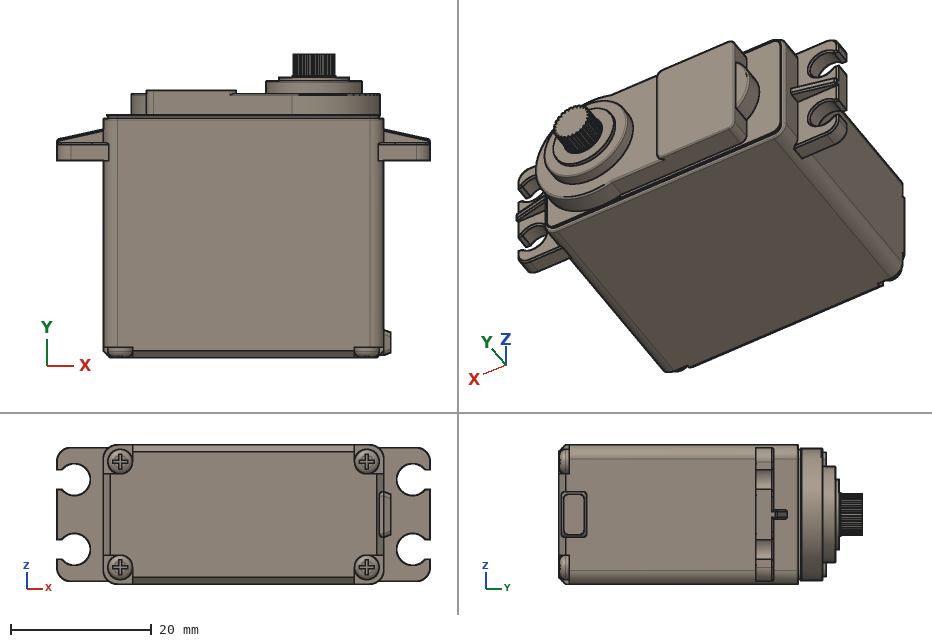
import cadquery as cq
import math


case_length = 39.8
case_width = 19.8
case_top = 34.0
case_corner_radius = 2.0
case_top_fillet = 0.2
bottom_chamfer = 1.0

seam_inset = 0.65
seam_top = 34.35
plate_inset = 0.5
plate_top = 34.5

shaft_x = 10.0
boss_radius = 6.85
boss_top = 39.3
boss_fillet = 0.2
ring_radius = 5.0
ring_top = 39.8
collar_radius = 3.1
collar_top = 40.0
shaft_top = 43.1
spline_tip_radius = 2.95
spline_root_radius = 2.65
spline_teeth = 25
tooth_tip_share = 0.45

deck_left = -13.8
deck_width = 17.7
deck_top = 37.5
deck_fillet = 0.25
deck_corner_radius = 1.0
deck_round_radius = case_length / 2 - plate_inset - shaft_x
cover_right = -1.0
cover_top = 38.0
cover_fillet = 0.2
bulge_length = 2.15
bulge_width = 9.4

span = 53.0
ear_width = 19.0
ear_bottom = 28.0
ear_top = 30.5
ear_corner_radius = 2.0
ear_chamfer = 0.25
ear_hole_x = 24.0
ear_hole_z = 4.95
ear_hole_diameter = 4.5
ear_slot_width = 2.8
rib_width = 1.3
rib_tip_top = 31.0
rib_root_top = 32.45
rib_chamfer = 0.25

screw_inset = 2.4
screw_x = case_length / 2 - screw_inset
screw_z = case_width / 2 - screw_inset
screw_radius = 1.75
screw_seat = 1.5
screw_tip = 0.1
screw_fillet = 0.85
cross_length = 2.1
cross_width = 0.4
cross_floor = 0.75
cross_center_size = 0.75
cross_center_taper = 15.0

cable_exit_width = 6.5
cable_exit_bottom = 0.35
cable_exit_top = 4.0
cable_exit_length = 1.0
cable_exit_corner_radius = 0.6
cable_exit_draft = 0.4

OVERLAP = 1.0


def at_height(y):
    """Sketch plane whose local x is X, local y is Z and whose normal is -Y."""
    return cq.Workplane("XZ", origin=(0, y, 0))


def upright_block(x_min, x_max, width, y_min, y_max):
    length = x_max - x_min
    block = at_height(y_min).center((x_min + x_max) / 2, 0).rect(length, width)
    return block.extrude(y_min - y_max)


def upright_cylinder(x, z, radius, y_min, y_max):
    return at_height(y_min).center(x, z).circle(radius).extrude(y_min - y_max)


def make_case_layer(inset, y_min, y_max):
    """Slab with the rounded case outline, moved inward by the inset."""
    half_length = case_length / 2 - inset
    slab = upright_block(-half_length, half_length, case_width - 2 * inset, y_min, y_max)
    return slab.edges("|Y").fillet(case_corner_radius - inset)


def make_case():
    case = make_case_layer(0, 0, case_top).faces(">Y").edges().fillet(case_top_fillet)
    chamfered_block = upright_block(-case_length / 2, case_length / 2, case_width, 0, case_top)
    chamfered_block = chamfered_block.faces("<Y").chamfer(bottom_chamfer)
    case = case.intersect(chamfered_block)
    seam = make_case_layer(seam_inset, case_top - OVERLAP, seam_top)
    plate = make_case_layer(plate_inset, seam_top, plate_top)
    return case.union(seam).union(plate)


def make_deck():
    block = upright_block(deck_left, shaft_x, deck_width, seam_top, deck_top)
    block = block.edges("|Y and <X").fillet(deck_corner_radius)
    round_end = upright_cylinder(shaft_x, 0, deck_round_radius, seam_top, deck_top)
    bulge = (
        at_height(seam_top)
        .moveTo(deck_left + OVERLAP, -bulge_width / 2)
        .lineTo(deck_left, -bulge_width / 2)
        .threePointArc((deck_left - bulge_length, 0), (deck_left, bulge_width / 2))
        .lineTo(deck_left + OVERLAP, bulge_width / 2)
        .close()
        .extrude(seam_top - deck_top)
    )
    deck = block.union(round_end).union(bulge)
    deck = deck.faces(">Y").edges().fillet(deck_fillet)
    cover = upright_block(deck_left, cover_right, deck_width, seam_top, cover_top)
    cover = cover.edges("|Y").fillet(deck_corner_radius)
    cover = cover.faces(">Y").edges().fillet(cover_fillet)
    return deck.union(cover)


def make_spline():
    pitch = 2 * math.pi / spline_teeth
    half_tip = tooth_tip_share * pitch / 2
    corners = []
    for tooth in range(spline_teeth):
        middle = tooth * pitch
        for radius, angle in (
            (spline_tip_radius, middle - half_tip),
            (spline_tip_radius, middle + half_tip),
            (spline_root_radius, middle + pitch / 2),
        ):
            corners.append((radius * math.cos(angle), radius * math.sin(angle)))
    base = ring_top - OVERLAP
    return at_height(base).center(shaft_x, 0).polyline(corners).close().extrude(base - shaft_top)


def make_output():
    boss = upright_cylinder(shaft_x, 0, boss_radius, deck_top - OVERLAP, boss_top)
    boss = boss.faces(">Y").edges().fillet(boss_fillet)
    ring = upright_cylinder(shaft_x, 0, ring_radius, boss_top - OVERLAP, ring_top)
    collar = upright_cylinder(shaft_x, 0, collar_radius, ring_top - OVERLAP, collar_top)
    return boss.union(ring).union(collar).union(make_spline())


def make_right_ear():
    root = case_length / 2 - case_corner_radius
    tip = span / 2
    ear = upright_block(root, tip, ear_width, ear_bottom, ear_top)
    ear = ear.edges("|Y and >X").fillet(ear_corner_radius)
    for side in (-1, 1):
        z = side * ear_hole_z
        ear = ear.cut(upright_cylinder(ear_hole_x, z, ear_hole_diameter / 2, ear_bottom, ear_top))
        slot = upright_block(ear_hole_x, tip, ear_slot_width, ear_bottom, ear_top)
        ear = ear.cut(slot.translate((0, 0, z)))
    ear = ear.faces(">Y").edges("not <X").chamfer(ear_chamfer)
    slope = (rib_root_top - rib_tip_top) / (tip - case_length / 2)
    rib = (
        cq.Workplane("XY", origin=(0, 0, -rib_width / 2))
        .moveTo(root, ear_bottom)
        .lineTo(tip, ear_bottom)
        .lineTo(tip, rib_tip_top)
        .lineTo(root, rib_tip_top + slope * (tip - root))
        .close()
        .extrude(rib_width)
    )
    rib = rib.edges("not(<X or <Y)").chamfer(rib_chamfer)
    return ear.union(rib)


def make_screw_pocket(x_sign, z_sign):
    """Corner cut with a quarter-round inner corner that follows the screw head."""
    inner_x = screw_x - screw_radius
    inner_z = screw_z - screw_radius
    pocket = (
        cq.Workplane("XZ")
        .moveTo(x_sign * inner_x, z_sign * case_width)
        .lineTo(x_sign * inner_x, z_sign * inner_z)
        .lineTo(x_sign * case_length, z_sign * inner_z)
        .lineTo(x_sign * case_length, z_sign * case_width)
        .close()
        .extrude(-screw_seat)
    )
    inner_corner = cq.selectors.NearestToPointSelector(
        (x_sign * inner_x, screw_seat / 2, z_sign * inner_z)
    )
    return pocket.edges("|Y").edges(inner_corner).fillet(screw_radius)


def make_screw(x, z):
    head = upright_cylinder(x, z, screw_radius, screw_tip, screw_seat + OVERLAP)
    head = head.faces("<Y").edges().fillet(screw_fillet)
    for length, width in ((cross_length, cross_width), (cross_width, cross_length)):
        head = head.cut(at_height(cross_floor).center(x, z).rect(length, width).extrude(cross_floor))
    center = (
        cq.Workplane("XZ")
        .rect(cross_center_size, cross_center_size)
        .extrude(-cross_floor, taper=cross_center_taper)
        .rotate((0, 0, 0), (0, 1, 0), 45)
        .translate((x, 0, z))
    )
    return head.cut(center)


def make_cable_exit():
    height = cable_exit_top - cable_exit_bottom
    middle = (cable_exit_top + cable_exit_bottom) / 2
    wall = cq.Workplane("YZ", origin=(case_length / 2, middle, 0))
    base = cq.Sketch().rect(height, cable_exit_width).vertices().fillet(cable_exit_corner_radius)
    end = cq.Sketch().rect(height - 2 * cable_exit_draft, cable_exit_width - 2 * cable_exit_draft)
    end = end.vertices().fillet(cable_exit_corner_radius)
    sunk = wall.placeSketch(base).extrude(-OVERLAP)
    raised = wall.placeSketch(base, end.moved(cq.Location(cq.Vector(0, 0, cable_exit_length)))).loft()
    return sunk.union(raised)


right_ear = make_right_ear()
result = make_case().union(make_deck()).union(make_output())
result = result.union(right_ear).union(right_ear.mirror("YZ"))
result = result.union(make_cable_exit())
for x_sign in (-1, 1):
    for z_sign in (-1, 1):
        result = result.cut(make_screw_pocket(x_sign, z_sign))
        result = result.union(make_screw(x_sign * screw_x, z_sign * screw_z))